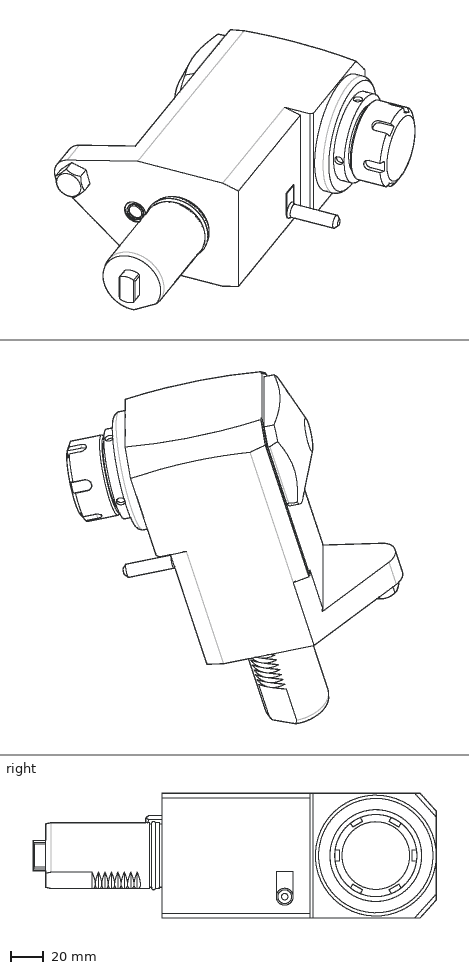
import cadquery as cq
import math


HALF_HEIGHT = 38.0
HALF_WIDTH = 39.0
FLAT_HALF_WIDTH = 28.5
SIDE_ANGLE = math.radians(15)
SIDE_SLOPE = math.tan(SIDE_ANGLE)
SIDE_Z = HALF_HEIGHT - (HALF_WIDTH - FLAT_HALF_WIDTH) * SIDE_SLOPE
REBATE_DEPTH = 0.7
REBATE_WIDTH = 1.0
HOUSING_LENGTH = 166.8
HEAD_START = 90.2
HEAD_RIGHT = 47.0
HEAD_CHAMFER = 1.7
CORNER_START = 157.0
CORNER_ANGLE = 48
CORNER_RADIUS = 367.5

LEVER_ANGLE = math.radians(40)
LEVER_THICKNESS = 18.0
LEVER_FOOT_LENGTH = 50.5
LOBE_RADIUS = 11.5
SCREW_X = -70.0
SCREW_Z = 14.7
SCREW_ACROSS_CORNERS = 20.0
SCREW_HEAD_HEIGHT = 9.8
SCREW_TURN = 45
SCREW_CHAMFER = 2.0

PLUG_X = -30.1
PLUG_RECESS_RADIUS = 7.0
PLUG_RADIUS = 5.5
PLUG_HOLE_RADIUS = 4.5
PLUG_DEPTH = 1.0

SHANK_RADIUS = 20.0
SHANK_NECK_RADIUS = 19.4
SHANK_LENGTH = 70.5
SHANK_TAPER_LENGTH = 3.2
SHANK_NECK_LENGTH = 1.5
SEAL_START = 4.0
SEAL_WIDTH = 2.2
SEAL_RADIUS = 20.8
SHANK_SHOULDER = 7.4
RACK_ROOT = 17.5
RACK_ANGLE = 60
RACK_START = 13.0
TOOTH_PITCH = 4.0
TOOTH_COUNT = 7

TANG_LENGTH = 7.5
TANG_WIDTH = 10.5
TANG_RADIUS = 9.3
TANG_CHAMFER = 0.7

SPINDLE_Y = 130.0
FLANGE_RADIUS = 36.8
FLANGE_END = 55.5
FLANGE_EDGE_LENGTH = 3.0
FLANGE_EDGE_DROP = 2.0
FLANGE_EDGE_RADIUS = 3.7
RING_RADIUS = 28.0
RING_END = 62.7
RING_HOLE_DIAMETER = 5.5
RING_HOLE_DEPTH = 2.5
RING_HOLE_TIP = 1.5
RING_HOLE_COUNT = 4
NECK_RADIUS = 21.3
NUT_START = 65.0
NUT_END = 88.0
NUT_RADIUS = 25.0
NUT_BACK_CHAMFER = 1.2
NUT_NOSE_LENGTH = 2.7
NUT_NOSE_DROP = 4.5
NUT_SLOT_COUNT = 6
NUT_SLOT_WIDTH = 6.9
NUT_SLOT_LENGTH = 13.5
NUT_SLOT_DEPTH = 3.0

COVER_RADIUS = 40.2
COVER_RIM_LENGTH = 6.1
COVER_LENGTH = 19.8
COVER_TIP_RADIUS = 10.3
COVER_HALF_HEIGHT = 32.8
COVER_FLAT_LENGTH = 1.2
COVER_TOP = 161.7
COVER_CORNER_Y = 9.3
COVER_CORNER_Z = 8.3

PIN_Y = 74.7
PIN_Z = -25.0
PIN_RADIUS = 4.2
PIN_END = 71.8
PIN_CHAMFER = 2.2
PIN_COLLAR_RADIUS = 5.1
PIN_COLLAR_LENGTH = 0.5
PIN_FLARE_LENGTH = 1.7
PAD_TOP = -9.5


def box(x0, x1, y0, y1, z0, z1):
    """Box given by its limits along each axis."""
    return cq.Workplane("XY").box(x1 - x0, y1 - y0, z1 - z0, centered=False).translate((x0, y0, z0))


def extrude_along_y(profile, y0, y1):
    """Extrude a profile drawn in the XZ plane between two Y positions."""
    return profile.extrude(y0 - y1).translate((0, y0, 0))


def spindle_plane():
    """Plane across the spindle axis: local x is Y, local y is Z and the normal is X."""
    return cq.Workplane("YZ", origin=(0, SPINDLE_Y, 0))


def spindle_spacing(tool, count):
    """Copies of a tool spaced evenly round the spindle axis."""
    copies = tool
    for i in range(1, count):
        copies = copies.union(tool.rotate((0, SPINDLE_Y, 0), (1, SPINDLE_Y, 0), 360 * i / count))
    return copies


def make_trunk():
    outline = cq.Workplane("XZ").polyline([
        (-FLAT_HALF_WIDTH, HALF_HEIGHT),
        (FLAT_HALF_WIDTH, HALF_HEIGHT),
        (HALF_WIDTH, SIDE_Z),
        (HALF_WIDTH, -SIDE_Z),
        (FLAT_HALF_WIDTH, -HALF_HEIGHT),
        (-FLAT_HALF_WIDTH, -HALF_HEIGHT),
        (-HALF_WIDTH, -SIDE_Z),
        (-HALF_WIDTH, SIDE_Z),
    ]).close()
    return extrude_along_y(outline, 0, HOUSING_LENGTH)


def make_head():
    head = box(0, HEAD_RIGHT, HEAD_START, HOUSING_LENGTH, -HALF_HEIGHT, HALF_HEIGHT)
    return head.edges("|Z and >X and <Y").chamfer(HEAD_CHAMFER)


def make_corner_drum(inset=0):
    """Large drum whose wall bounds the crowned upper end corner of the housing."""
    angle = math.radians(CORNER_ANGLE)
    run, fall = math.cos(angle), math.sin(angle)
    middle_x = (HEAD_RIGHT - HALF_WIDTH) / 2
    centre = (middle_x, CORNER_START - CORNER_RADIUS * fall, HALF_HEIGHT - CORNER_RADIUS * run)
    plane = cq.Plane(origin=centre, xDir=(1, 0, 0), normal=(0, run, -fall))
    return cq.Workplane(plane).circle(CORNER_RADIUS - inset).extrude(CORNER_RADIUS, both=True)


def trim_corners(body, inset=0):
    """Trim the upper and lower end corners of a body."""
    drum = make_corner_drum(inset)
    return body.intersect(drum).intersect(drum.mirror("XY"))


def make_side_rebate():
    """Shallow rebate round the left face, along its sloping edges, end corners and lever."""
    floor_x = REBATE_DEPTH - HALF_WIDTH
    strip = box(-HALF_WIDTH, floor_x, LEVER_THICKNESS, HOUSING_LENGTH, -HALF_HEIGHT, HALF_HEIGHT)
    pad_start = LEVER_THICKNESS + REBATE_WIDTH
    pad_z = SIDE_Z - REBATE_WIDTH
    pad = box(-HALF_WIDTH, floor_x, pad_start, HOUSING_LENGTH, -pad_z, pad_z)
    return strip.cut(trim_corners(pad, REBATE_WIDTH))


def make_lever_outline():
    """Lever outline: two sloping sides that run tangent into the round lobe."""
    lobe_drops = LOBE_RADIUS * (1 / math.cos(SIDE_ANGLE) + 1 / math.cos(LEVER_ANGLE))
    reach = (2 * HALF_HEIGHT - lobe_drops) / (SIDE_SLOPE + math.tan(LEVER_ANGLE))
    lobe_x = -FLAT_HALF_WIDTH - reach
    lobe_z = HALF_HEIGHT - reach * SIDE_SLOPE - LOBE_RADIUS / math.cos(SIDE_ANGLE)

    upper = (
        lobe_x - LOBE_RADIUS * math.sin(SIDE_ANGLE),
        lobe_z + LOBE_RADIUS * math.cos(SIDE_ANGLE),
    )
    lower = (
        lobe_x - LOBE_RADIUS * math.sin(LEVER_ANGLE),
        lobe_z - LOBE_RADIUS * math.cos(LEVER_ANGLE),
    )
    return (
        cq.Workplane("XZ")
        .moveTo(0, HALF_HEIGHT)
        .lineTo(-FLAT_HALF_WIDTH, HALF_HEIGHT)
        .lineTo(*upper)
        .threePointArc((lobe_x - LOBE_RADIUS, lobe_z), lower)
        .lineTo(-FLAT_HALF_WIDTH, -HALF_HEIGHT)
        .lineTo(0, -HALF_HEIGHT)
        .close()
    )


def make_housing():
    housing = trim_corners(make_trunk().union(make_head())).cut(make_side_rebate())
    trunk_foot = box(-HALF_WIDTH, 0, 0, LEVER_FOOT_LENGTH, -HALF_HEIGHT, HALF_HEIGHT)
    foot_trim = trunk_foot.cut(extrude_along_y(make_lever_outline(), 0, LEVER_FOOT_LENGTH))
    lever = extrude_along_y(make_lever_outline(), 0, LEVER_THICKNESS)
    return housing.cut(foot_trim).union(lever).clean()


def make_screw():
    radius = SCREW_ACROSS_CORNERS / 2
    hexagon = (
        cq.Workplane("XZ").polygon(6, SCREW_ACROSS_CORNERS).extrude(SCREW_HEAD_HEIGHT)
        .rotate((0, 0, 0), (0, 1, 0), -SCREW_TURN)
    )
    turned = (
        cq.Workplane("XZ").circle(radius).extrude(SCREW_HEAD_HEIGHT)
        .faces("<Y").chamfer(SCREW_CHAMFER)
    )
    return hexagon.intersect(turned).translate((SCREW_X, 0, SCREW_Z))


def make_plug_groove():
    groove = cq.Workplane("XZ").circle(PLUG_RECESS_RADIUS).circle(PLUG_RADIUS).extrude(-PLUG_DEPTH)
    hole = cq.Workplane("XZ").circle(PLUG_HOLE_RADIUS).extrude(-PLUG_DEPTH)
    return groove.union(hole).translate((PLUG_X, 0, 0))


def make_shank():
    seal_end = SEAL_START + SEAL_WIDTH
    seal_middle = SEAL_START + SEAL_WIDTH / 2
    profile = (
        cq.Workplane("XY")
        .moveTo(0, 0)
        .lineTo(SHANK_NECK_RADIUS, 0)
        .lineTo(SHANK_NECK_RADIUS, -SHANK_NECK_LENGTH)
        .lineTo(SHANK_RADIUS, -SHANK_NECK_LENGTH)
        .lineTo(SHANK_RADIUS, -SEAL_START)
        .lineTo(SHANK_NECK_RADIUS, -SEAL_START)
        .threePointArc((SEAL_RADIUS, -seal_middle), (SHANK_NECK_RADIUS, -seal_end))
        .lineTo(SHANK_NECK_RADIUS, -SHANK_SHOULDER)
        .lineTo(SHANK_RADIUS, -SHANK_SHOULDER)
        .lineTo(SHANK_RADIUS, -(SHANK_LENGTH - SHANK_TAPER_LENGTH))
        .lineTo(SHANK_NECK_RADIUS, -SHANK_LENGTH)
        .lineTo(0, -SHANK_LENGTH)
        .close()
    )
    return profile.revolve(360, (0, 0, 0), (0, 1, 0)).cut(make_rack_cut())


def make_rack_cut():
    """Row of V teeth that ends in a flat running out to the shank end."""
    crest = SHANK_RADIUS
    outside = 2 * SHANK_RADIUS
    outline = cq.Workplane("XY").moveTo(crest, -RACK_START)
    for i in range(TOOTH_COUNT):
        tooth_y = -(RACK_START + i * TOOTH_PITCH)
        outline = outline.lineTo(RACK_ROOT, tooth_y - TOOTH_PITCH / 2)
        outline = outline.lineTo(crest, tooth_y - TOOTH_PITCH)
    flat_y = -(RACK_START + (TOOTH_COUNT + 0.5) * TOOTH_PITCH)
    outline = outline.lineTo(RACK_ROOT, flat_y).lineTo(RACK_ROOT, -SHANK_LENGTH)
    outline = outline.lineTo(outside, -SHANK_LENGTH).lineTo(outside, -RACK_START).close()
    return outline.extrude(crest, both=True).rotate((0, 0, 0), (0, 1, 0), RACK_ANGLE)


def make_tang():
    tang_end = SHANK_LENGTH + TANG_LENGTH
    blade = box(-TANG_WIDTH / 2, TANG_WIDTH / 2, -tang_end, -SHANK_LENGTH, -TANG_RADIUS, TANG_RADIUS)
    round_bar = extrude_along_y(cq.Workplane("XZ").circle(TANG_RADIUS), -tang_end, -SHANK_LENGTH)
    tang = blade.intersect(round_bar)
    return tang.faces("<X or >X").edges("not >Y").chamfer(TANG_CHAMFER)


def make_spindle():
    profile = (
        cq.Workplane("XY", origin=(0, SPINDLE_Y, 0))
        .moveTo(0, 0)
        .lineTo(0, RING_RADIUS)
        .lineTo(HEAD_RIGHT, RING_RADIUS)
        .lineTo(HEAD_RIGHT, FLANGE_RADIUS)
        .lineTo(FLANGE_END - FLANGE_EDGE_LENGTH, FLANGE_RADIUS)
        .radiusArc((FLANGE_END, FLANGE_RADIUS - FLANGE_EDGE_DROP), FLANGE_EDGE_RADIUS)
        .lineTo(FLANGE_END, RING_RADIUS)
        .lineTo(RING_END, RING_RADIUS)
        .lineTo(RING_END, NECK_RADIUS)
        .lineTo(NUT_START, NECK_RADIUS)
        .lineTo(NUT_START, NUT_RADIUS - NUT_BACK_CHAMFER)
        .lineTo(NUT_START + NUT_BACK_CHAMFER, NUT_RADIUS)
        .lineTo(NUT_END - NUT_NOSE_LENGTH, NUT_RADIUS)
        .lineTo(NUT_END, NUT_RADIUS - NUT_NOSE_DROP)
        .lineTo(NUT_END, 0)
        .close()
    )
    spindle = profile.revolve(360, (0, 0, 0), (1, 0, 0))
    return spindle.cut(make_ring_holes()).cut(make_nut_slots())


def make_ring_holes():
    """Drilled spanner holes with conical bottoms."""
    hole_x = (FLANGE_END + RING_END) / 2
    hole_radius = RING_HOLE_DIAMETER / 2
    hole = (
        cq.Workplane("XZ", origin=(hole_x, SPINDLE_Y, RING_RADIUS))
        .polyline([
            (0, RING_HOLE_DEPTH),
            (hole_radius, RING_HOLE_DEPTH),
            (hole_radius, -RING_HOLE_DEPTH),
            (0, -RING_HOLE_DEPTH - RING_HOLE_TIP),
        ]).close().revolve(360, (0, 0, 0), (0, 1, 0))
    )
    return spindle_spacing(hole, RING_HOLE_COUNT)


def make_nut_slots():
    """Round-ended wrench slots, open at the nose; the first one faces -Y."""
    floor_y = SPINDLE_Y - (NUT_RADIUS - NUT_SLOT_DEPTH)
    slot = (
        cq.Workplane("XZ", origin=(NUT_END, floor_y, 0))
        .slot2D(2 * NUT_SLOT_LENGTH, NUT_SLOT_WIDTH).extrude(2 * NUT_SLOT_DEPTH)
    )
    return spindle_spacing(slot, NUT_SLOT_COUNT)


def make_cover():
    tip_x = -(HALF_WIDTH + COVER_LENGTH)
    rim_x = -(HALF_WIDTH + COVER_RIM_LENGTH)
    dome = (
        cq.Workplane("XY", origin=(0, SPINDLE_Y, 0))
        .polyline([
            (-HALF_WIDTH, 0),
            (-HALF_WIDTH, COVER_RADIUS),
            (rim_x, COVER_RADIUS),
            (tip_x, COVER_TIP_RADIUS),
            (tip_x, 0),
        ]).close().revolve(360, (0, 0, 0), (1, 0, 0))
    )

    slope_x = -(HALF_WIDTH + COVER_FLAT_LENGTH)
    tip_z = COVER_HALF_HEIGHT - (slope_x - tip_x) * SIDE_SLOPE
    sides = cq.Workplane("XZ").polyline([
        (-HALF_WIDTH, COVER_HALF_HEIGHT),
        (slope_x, COVER_HALF_HEIGHT),
        (tip_x, tip_z),
        (tip_x, -tip_z),
        (slope_x, -COVER_HALF_HEIGHT),
        (-HALF_WIDTH, -COVER_HALF_HEIGHT),
    ]).close()
    side_envelope = extrude_along_y(sides, SPINDLE_Y - COVER_RADIUS, COVER_TOP)

    top = COVER_TOP - SPINDLE_Y
    corner_y = top - COVER_CORNER_Y
    corner_z = COVER_HALF_HEIGHT - COVER_CORNER_Z
    end_envelope = spindle_plane().polyline([
        (-COVER_RADIUS, COVER_HALF_HEIGHT),
        (corner_y, COVER_HALF_HEIGHT),
        (top, corner_z),
        (top, -corner_z),
        (corner_y, -COVER_HALF_HEIGHT),
        (-COVER_RADIUS, -COVER_HALF_HEIGHT),
    ]).close().extrude(tip_x)
    return dome.intersect(side_envelope).intersect(end_envelope)


def make_pin():
    collar_end = HALF_WIDTH + PIN_COLLAR_LENGTH
    profile = cq.Workplane("XY", origin=(0, PIN_Y, PIN_Z)).polyline([
        (0, 0),
        (0, PIN_COLLAR_RADIUS),
        (collar_end, PIN_COLLAR_RADIUS),
        (collar_end + PIN_FLARE_LENGTH, PIN_RADIUS),
        (PIN_END - PIN_CHAMFER, PIN_RADIUS),
        (PIN_END, PIN_RADIUS - PIN_CHAMFER),
        (PIN_END, 0),
    ]).close()
    pin = profile.revolve(360, (0, 0, 0), (1, 0, 0))
    pad_y0, pad_y1 = PIN_Y - PIN_COLLAR_RADIUS, PIN_Y + PIN_COLLAR_RADIUS
    return pin.union(box(0, collar_end, pad_y0, pad_y1, PIN_Z, PAD_TOP))


result = (
    make_housing()
    .cut(make_plug_groove())
    .union(make_screw())
    .union(make_shank())
    .union(make_tang())
    .union(make_spindle())
    .union(make_cover())
    .union(make_pin())
)